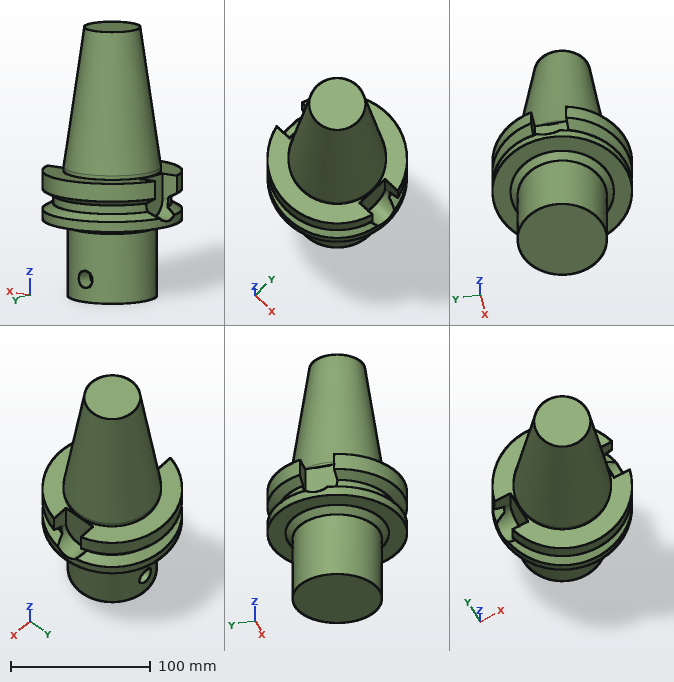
import cadquery as cq

total_height = 195.8
taper_length = 101.8
gauge_height = total_height - taper_length
flange_top = 91.0
flange_bottom = 56.0

nose_diameter = 64.0
flange_diameter = 100.0
groove_diameter = 84.8
gauge_diameter = 69.9
collar_diameter = 74.0
taper_ratio = 7 / 24
taper_top_diameter = gauge_diameter - taper_length * taper_ratio

groove_center = 70.7
groove_root_width = 6.3
groove_mouth_width = 14.9

slot_width = 25.6
slot_floor_offset = 35.5
slot_bottom = 60.1

screw_hole_diameter = 12.3
screw_hole_height = 16.6
screw_hole_depth = 14.0


def turned_body():
    """Taper shank, grooved flange and cylindrical nose as one revolved profile."""
    nose_radius = nose_diameter / 2
    flange_radius = flange_diameter / 2
    groove_radius = groove_diameter / 2
    gauge_radius = gauge_diameter / 2
    collar_radius = collar_diameter / 2
    collar_bottom = flange_bottom - (collar_radius - nose_radius)
    profile = [
        (0, 0),
        (nose_radius, 0),
        (nose_radius, collar_bottom),
        (collar_radius, flange_bottom),
        (flange_radius, flange_bottom),
        (flange_radius, groove_center - groove_mouth_width / 2),
        (groove_radius, groove_center - groove_root_width / 2),
        (groove_radius, groove_center + groove_root_width / 2),
        (flange_radius, groove_center + groove_mouth_width / 2),
        (flange_radius, flange_top),
        (gauge_radius, flange_top),
        (gauge_radius, gauge_height),
        (taper_top_diameter / 2, total_height),
        (0, total_height),
    ]
    return cq.Workplane("XZ").polyline(profile).close().revolve(360, (0, 0, 0), (0, 1, 0))


def drive_slot(side):
    """Round-bottomed slot open at the flange top and rim; side is +1 or -1 along X."""
    slot_radius = slot_width / 2
    arc_height = slot_bottom + slot_radius
    return (
        cq.Workplane("YZ", origin=(side * slot_floor_offset, 0, 0))
        .moveTo(-slot_radius, flange_top)
        .lineTo(-slot_radius, arc_height)
        .threePointArc((0, slot_bottom), (slot_radius, arc_height))
        .lineTo(slot_radius, flange_top)
        .close()
        .extrude(side * flange_diameter / 2)
    )


def screw_hole():
    """Blind radial hole entering the nose from its +Y side."""
    return (
        cq.Workplane("XZ", origin=(0, nose_diameter / 2, screw_hole_height))
        .circle(screw_hole_diameter / 2)
        .extrude(screw_hole_depth)
    )


result = turned_body()
for side in (-1, 1):
    result = result.cut(drive_slot(side))
result = result.cut(screw_hole())